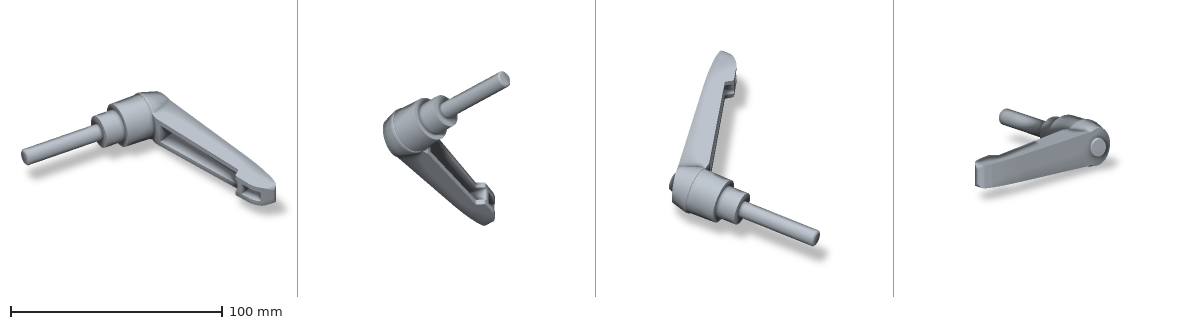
import cadquery as cq
import math


STUD_DIAMETER = 8.0
STUD_LENGTH = 40.0
STUD_CHAMFER = 0.7
COLLAR_DIAMETER = 16.0
COLLAR_TOP = 50.0
SKIRT_BOTTOM_RADIUS = 10.75
SKIRT_TOP_RADIUS = 11.0
SKIRT_TOP = 64.05
RIM_RADIUS = 11.5
RIM_HEIGHT = 1.3
RIM_EDGE = 0.3
CONE_HEIGHT = 15.0
CONE_ANGLE = 14.0

SCREW_RADIUS = 4.7
SCREW_TOP = 77.0
SCREW_CHAMFER_WIDTH = 0.5
SCREW_CHAMFER_HEIGHT = 1.1

LEVER_ANGLE = 15.0
TOP_FACE_HEIGHT = 75.2
TOP_FACE_END_X = 56.1
LEVER_TOP = 93.5
TIP_X = 80.0
TIP_ROUND_X = 77.3
TIP_ROUND_MIDDLE = (79.3, 92.7)
NOSE_END = (TIP_X, 91.0)
NOSE_MIDDLE = (77.8, 85.6)
TOP_FLAT_X = 73.4
TOP_CURVE_MIDDLE = (65.45, 92.3)
ROOT_HALF_WIDTH = 8.3
SIDE_ANGLE = 2.0
TIP_CORNER_RADIUS = 2.4
HOOK_INNER = (61.8, 82.1)
HOOK_OUTER = (64.5, 78.7)
HOOK_ROUND = 1.1
UNDERSIDE_START = (12.0, SKIRT_TOP)
UNDERSIDE_END = (73.1, 81.9)

WALL = 2.7
TOP_WALL = 4.7
POCKET_CORNER_RADIUS = 0.8
LONG_POCKET_X = (14.7, 65.9)
TIP_POCKET_START_X = 68.3
TIP_POCKET_END = (77.7, 85.55)
TIP_POCKET_FLOOR = 90.7
CUT_MARGIN = 5.6

underside_slope = (HOOK_INNER[1] - UNDERSIDE_START[1]) / (HOOK_INNER[0] - UNDERSIDE_START[0])


def top_face_y(x):
    return TOP_FACE_HEIGHT + x * math.tan(math.radians(LEVER_ANGLE))


def half_width(x):
    return ROOT_HALF_WIDTH - x * math.tan(math.radians(SIDE_ANGLE))


def make_hub():
    """Stud, collar, skirt, rim and cone, trimmed along the lever's top face."""
    rim_top = SKIRT_TOP + RIM_HEIGHT
    cone_top = rim_top + CONE_HEIGHT
    cone_top_radius = RIM_RADIUS - CONE_HEIGHT * math.tan(math.radians(CONE_ANGLE))
    stud_radius = STUD_DIAMETER / 2
    collar_radius = COLLAR_DIAMETER / 2
    profile = [
        (0, 0),
        (stud_radius - STUD_CHAMFER, 0),
        (stud_radius, STUD_CHAMFER),
        (stud_radius, STUD_LENGTH),
        (collar_radius, STUD_LENGTH),
        (collar_radius, COLLAR_TOP),
        (SKIRT_BOTTOM_RADIUS, COLLAR_TOP),
        (SKIRT_TOP_RADIUS, SKIRT_TOP),
        (RIM_RADIUS - RIM_EDGE, SKIRT_TOP),
        (RIM_RADIUS, SKIRT_TOP + RIM_EDGE),
        (RIM_RADIUS, rim_top),
        (cone_top_radius, cone_top),
        (0, cone_top),
    ]
    hub = cq.Workplane("XY").polyline(profile).close().revolve(360, (0, 0, 0), (0, 1, 0))
    reach = 2 * RIM_RADIUS
    above_top_face = (
        cq.Workplane("XY")
        .polyline([
            (-reach, top_face_y(-reach)),
            (reach, top_face_y(reach)),
            (reach, cone_top + reach),
            (-reach, cone_top + reach),
        ])
        .close()
        .extrude(reach, both=True)
    )
    return hub.cut(above_top_face)


def make_screw_head():
    profile = [
        (0, SKIRT_TOP),
        (SCREW_RADIUS, SKIRT_TOP),
        (SCREW_RADIUS, SCREW_TOP - SCREW_CHAMFER_HEIGHT),
        (SCREW_RADIUS - SCREW_CHAMFER_WIDTH, SCREW_TOP),
        (0, SCREW_TOP),
    ]
    return cq.Workplane("XY").polyline(profile).close().revolve(360, (0, 0, 0), (0, 1, 0))


def tapered_plan(start_x, end_x, inset):
    """Bar along Y whose plan narrows towards +X, with both sides moved in by inset."""
    start_half = half_width(start_x) - inset
    end_half = half_width(end_x) - inset
    plan = [(start_x, -start_half), (end_x, -end_half), (end_x, end_half), (start_x, start_half)]
    return cq.Workplane("XZ").polyline(plan).close().extrude(-LEVER_TOP - CUT_MARGIN)


def make_lever():
    outline = (
        cq.Workplane("XY")
        .moveTo(0, SKIRT_TOP)
        .lineTo(*UNDERSIDE_START)
        .lineTo(*HOOK_INNER)
        .lineTo(*HOOK_OUTER)
        .lineTo(*UNDERSIDE_END)
        .threePointArc(NOSE_MIDDLE, NOSE_END)
        .threePointArc(TIP_ROUND_MIDDLE, (TIP_ROUND_X, LEVER_TOP))
        .lineTo(TOP_FLAT_X, LEVER_TOP)
        .threePointArc(TOP_CURVE_MIDDLE, (TOP_FACE_END_X, top_face_y(TOP_FACE_END_X)))
        .lineTo(0, top_face_y(0))
        .close()
        .extrude(ROOT_HALF_WIDTH, both=True)
    )
    for corner in (HOOK_INNER, HOOK_OUTER):
        edge = cq.selectors.NearestToPointSelector((*corner, 0))
        outline = outline.edges(edge).fillet(HOOK_ROUND)
    plan = tapered_plan(0, TIP_X, 0).edges("|Y and >X").fillet(TIP_CORNER_RADIUS)
    return outline.intersect(plan)


def mouth_point(x, corner):
    """Point at x on the stretch of underside that starts at corner."""
    return (x, corner[1] + (x - corner[0]) * underside_slope)


def wall_at_height(mouth, y):
    """Point at height y on the end wall, square to the underside, that passes through mouth."""
    return (mouth[0] - (y - mouth[1]) * underside_slope, y)


def wall_at_long_floor(mouth):
    """Point where the end wall through mouth meets a floor parallel to the top face."""
    lean = math.tan(math.radians(LEVER_ANGLE)) * underside_slope
    rise = (top_face_y(mouth[0]) - TOP_WALL - mouth[1]) / (1 + lean)
    return wall_at_height(mouth, mouth[1] + rise)


def make_pocket(mouths, floor):
    """Tapered pocket between two end walls, rounded at its outer end."""
    openings = [wall_at_height(mouth, mouth[1] - CUT_MARGIN) for mouth in mouths]
    profile = [floor[0], floor[1], openings[1], openings[0]]
    pocket = cq.Workplane("XY").polyline(profile).close().extrude(ROOT_HALF_WIDTH, both=True)
    pocket = pocket.intersect(tapered_plan(0, TIP_X + CUT_MARGIN, WALL))
    middle_x = (floor[1][0] + openings[1][0]) / 2
    middle_y = (floor[1][1] + openings[1][1]) / 2
    for side in (-1, 1):
        corner = (middle_x, middle_y, side * (half_width(middle_x) - WALL))
        pocket = pocket.edges(cq.selectors.NearestToPointSelector(corner)).fillet(POCKET_CORNER_RADIUS)
    return pocket


long_pocket_mouths = [
    mouth_point(LONG_POCKET_X[0], UNDERSIDE_START),
    mouth_point(LONG_POCKET_X[1], HOOK_OUTER),
]
long_pocket_floor = [wall_at_long_floor(mouth) for mouth in long_pocket_mouths]

tip_pocket_mouths = [mouth_point(TIP_POCKET_START_X, HOOK_OUTER), TIP_POCKET_END]
tip_pocket_floor = [wall_at_height(mouth, TIP_POCKET_FLOOR) for mouth in tip_pocket_mouths]

lever = make_lever()
lever = lever.cut(make_pocket(long_pocket_mouths, long_pocket_floor))
lever = lever.cut(make_pocket(tip_pocket_mouths, tip_pocket_floor))
result = make_hub().union(lever).union(make_screw_head())